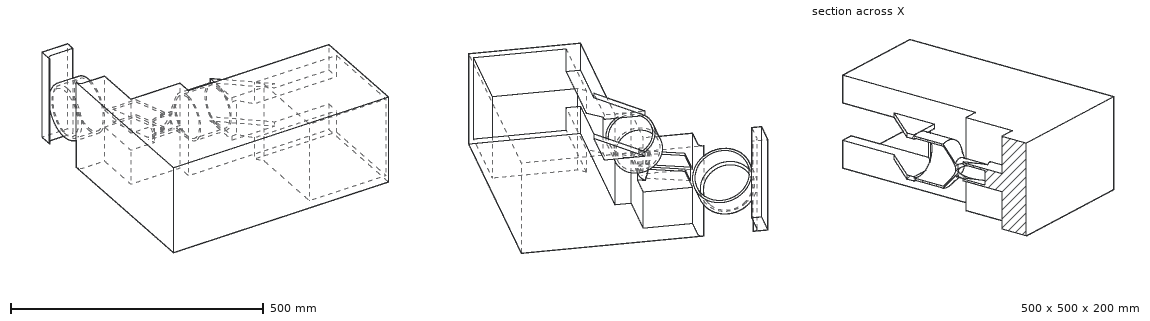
import cadquery as cq
import math

LENGTH = 500.0
DEPTH = 500.0
HEIGHT = 200.0
MID_Z = HEIGHT / 2

CUP_DIAMETER = 120.0
CUP_LENGTH = 60.0
CUP_WALL = 5.0
CUP_ROUND = 10.0
CUP_X = 80.0
CUP_RIGHT_X = CUP_X + CUP_DIAMETER / 2

BARREL_DIAMETER = 100.0
TUBE_DIAMETER = 40.0
CYCLONE_WALL = 5.0
CYCLONE_X = 220.0
CONE_START_Y = 174.0
BARREL_START_Y = 204.0
BARREL_END_Y = 275.0
TUBE_RIGHT_X = CYCLONE_X + TUBE_DIAMETER / 2

CHUTE_WALL = 5.0
CHUTE_FLOOR_Y = 80.0
CHUTE_RISE = 35.0
CHUTE_OPENING = 50.0
CHUTE_TIP_X = 225.0

STEP_X = 273.0
INLET_TIP_X = 190.0
INLET_END_Y = 374.0
INLET_PLATE = 10.0
INLET_HEIGHT = BARREL_DIAMETER

SLOT_HEIGHT = INLET_HEIGHT - 2 * INLET_PLATE
LIP_THICKNESS = 29.0
CAVITY_WALL = 10.0
CAVITY_START_Y = 285.0
RAMP_END_Y = 322.0
RAMP_LENGTH = 44.0

CHUTE_RUN = TUBE_RIGHT_X - CUP_RIGHT_X
CHUTE_ANGLE = math.atan2(CHUTE_RISE, CHUTE_RUN)
COS, SIN = math.cos(CHUTE_ANGLE), math.sin(CHUTE_ANGLE)
FLOOR_START = (CUP_RIGHT_X, CHUTE_FLOOR_Y)
FLOOR_END = (TUBE_RIGHT_X, CHUTE_FLOOR_Y + CHUTE_RISE)
TIP = (CHUTE_TIP_X, CHUTE_FLOOR_Y + (CHUTE_TIP_X - CUP_RIGHT_X) * math.tan(CHUTE_ANGLE))
CHUTE_TOP = (TIP[0] - CHUTE_OPENING * SIN, TIP[1] + CHUTE_OPENING * COS)
MOUTH_TOP = (CUP_RIGHT_X, CHUTE_FLOOR_Y + CHUTE_OPENING / COS)


def centred_plate(points, height):
    """Upright prism over an XY outline, centred on the middle height."""
    outline = cq.Workplane("XY", origin=(0, 0, MID_Z)).polyline(points).close()
    return outline.extrude(height / 2, both=True)


def turned(points, axis_x):
    """Solid turned about a Y-parallel axis from (radius, y) points."""
    profile = cq.Workplane("XY", origin=(axis_x, 0, MID_Z)).polyline(points).close()
    return profile.revolve(360, (0, 0, 0), (0, 1, 0))


def make_cup():
    """Round cup with a rounded floor edge and a bevelled bore floor."""
    radius = CUP_DIAMETER / 2
    outer = cq.Workplane("XZ", origin=(CUP_X, 0, MID_Z)).circle(radius).extrude(-CUP_LENGTH)
    outer = outer.faces("<Y").edges().fillet(CUP_ROUND)
    inner_radius = radius - CUP_WALL
    bore = turned(
        [(0, CUP_WALL), (inner_radius - CUP_WALL, CUP_WALL), (inner_radius, 2 * CUP_WALL),
         (inner_radius, CUP_LENGTH), (0, CUP_LENGTH)],
        CUP_X,
    )
    return outer.cut(bore)


def cup_opening():
    """Full-height opening with the side outline of the cup, rounded at the front."""
    opening = cq.Workplane("XY").box(CUP_DIAMETER, CUP_LENGTH, HEIGHT, centered=(True, False, False))
    return opening.faces("<Y").edges("|Z").fillet(CUP_ROUND).translate((CUP_X, 0, 0))


def make_post():
    """Corner post left of the cup, hollowed to fit it."""
    bar = cq.Workplane("XY").box(CUP_X, CUP_LENGTH, HEIGHT, centered=False)
    post = bar.cut(cup_opening())
    return post


def cabinet_cavity():
    """Slot behind the inlet, widening past a lip into a chamber open at the back end."""
    inner_x = STEP_X + LIP_THICKNESS
    back_x = LENGTH - CAVITY_WALL
    ramp_end_x = STEP_X + RAMP_LENGTH
    lip_ramp_y = CAVITY_START_Y + LIP_THICKNESS * (RAMP_END_Y - CAVITY_START_Y) / RAMP_LENGTH
    slot = centred_plate(
        [(STEP_X, CAVITY_START_Y), (inner_x, lip_ramp_y), (inner_x, DEPTH), (STEP_X, DEPTH)],
        SLOT_HEIGHT,
    )
    chamber = centred_plate(
        [(inner_x, lip_ramp_y), (ramp_end_x, RAMP_END_Y), (back_x, RAMP_END_Y),
         (back_x, DEPTH), (inner_x, DEPTH)],
        HEIGHT - 2 * CAVITY_WALL,
    )
    return slot.union(chamber)


def make_cabinet_block():
    outline = [
        (CUP_X, 0), (LENGTH, 0), (LENGTH, DEPTH), (STEP_X, DEPTH), (STEP_X, CONE_START_Y),
        (TUBE_RIGHT_X, CONE_START_Y), (TUBE_RIGHT_X, CUP_LENGTH), (CUP_X, CUP_LENGTH),
    ]
    return centred_plate(outline, HEIGHT).cut(cup_opening()).cut(cabinet_cavity())


def make_inlet():
    """Two triangular plates, above and below the inlet slot."""
    triangle = [(INLET_TIP_X, BARREL_END_Y), (STEP_X, BARREL_END_Y), (STEP_X, INLET_END_Y)]
    return centred_plate(triangle, INLET_HEIGHT).cut(centred_plate(triangle, SLOT_HEIGHT))


def cyclone_form(offset, start_y):
    """Barrel, cone and tube as one turned solid, shrunk inward by the offset."""
    tube_radius = TUBE_DIAMETER / 2 - offset
    barrel_radius = BARREL_DIAMETER / 2 - offset
    return turned(
        [(0, start_y), (tube_radius, start_y), (tube_radius, CONE_START_Y),
         (barrel_radius, BARREL_START_Y), (barrel_radius, BARREL_END_Y), (0, BARREL_END_Y)],
        CYCLONE_X,
    )


def make_cyclone():
    shell = cyclone_form(0, CUP_LENGTH).cut(cyclone_form(CYCLONE_WALL, CUP_LENGTH))
    reach = CONE_START_Y - TIP[1]
    shoulder = (TIP[0] - reach * math.tan(CHUTE_ANGLE), CONE_START_Y)
    beyond_tube = centred_plate(
        [FLOOR_START, (CUP_RIGHT_X, CUP_LENGTH), (TUBE_RIGHT_X, CUP_LENGTH), FLOOR_END,
         TIP, shoulder, (CUP_RIGHT_X, CONE_START_Y)],
        TUBE_DIAMETER,
    )
    return shell.cut(beyond_tube)


def make_chute():
    """Slab with a sloping channel between its upper and lower walls."""
    slab = centred_plate(
        [(CUP_RIGHT_X, CUP_LENGTH), (TUBE_RIGHT_X, CUP_LENGTH), FLOOR_END, TIP, CHUTE_TOP, MOUTH_TOP],
        TUBE_DIAMETER,
    )
    channel = centred_plate([FLOOR_START, TIP, CHUTE_TOP, MOUTH_TOP], TUBE_DIAMETER - 2 * CHUTE_WALL)
    return slab.cut(channel)


def make_cabinet():
    """Cabinet block carrying the inlet, the cyclone and the chute."""
    return make_cabinet_block().union(make_chute()).union(make_inlet()).union(make_cyclone())


cabinet = make_cabinet()
post = make_post()
cup = make_cup()
result = cq.Compound.makeCompound([*cabinet.solids().vals(), *post.solids().vals(), *cup.solids().vals()])